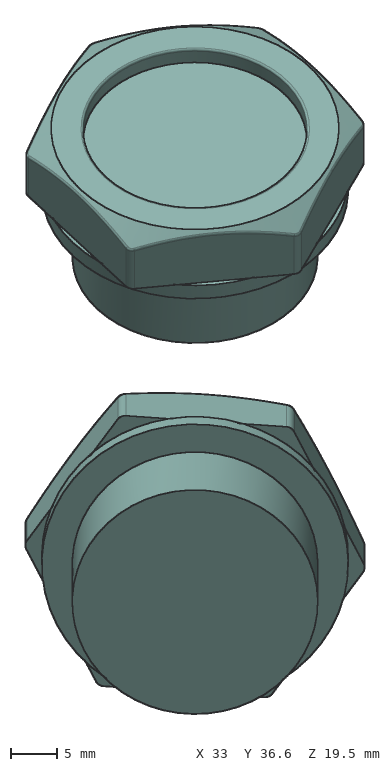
import cadquery as cq
import math

stud_diameter = 26.44
stud_height = 10.0
collar_diameter = 33.0
collar_height = 2.0

head_sides = 6
across_flats = 32.0
head_height = 7.5
corner_radius = 1.0
crown_diameter = 31.0
crown_angle = 30.0
crown_edge_radius = 0.3

recess_diameter = 24.1
recess_depth = 2.0
recess_rim_radius = 0.25

collar_top = stud_height + collar_height
head_top = collar_top + head_height
across_corners = across_flats / math.cos(math.pi / head_sides)


def make_cylinder(diameter, height, base_z):
    return cq.Workplane("XY").workplane(offset=base_z).circle(diameter / 2).extrude(height)


def make_hex_prism():
    prism = (
        cq.Workplane("XY")
        .workplane(offset=collar_top)
        .transformed(rotate=(0, 0, 90))
        .polygon(head_sides, across_corners)
        .extrude(head_height)
    )
    return prism.edges("|Z").fillet(corner_radius)


def make_crown_envelope():
    """Solid of revolution whose conical top trims the corners of the head."""
    outer_radius = across_corners / 2
    crown_radius = crown_diameter / 2
    drop = (outer_radius - crown_radius) * math.tan(math.radians(crown_angle))
    return (
        cq.Workplane("XZ")
        .moveTo(0, collar_top)
        .lineTo(outer_radius, collar_top)
        .lineTo(outer_radius, head_top - drop)
        .lineTo(crown_radius, head_top)
        .lineTo(0, head_top)
        .close()
        .revolve(360, (0, 0, 0), (0, 1, 0))
    )


def make_head():
    head = make_hex_prism().intersect(make_crown_envelope())
    crown_edges = head.faces("%CONE").edges("not(%CIRCLE or %LINE)")
    return crown_edges.fillet(crown_edge_radius)


def cut_recess(body):
    recess_floor = head_top - recess_depth
    body = body.cut(make_cylinder(recess_diameter, recess_depth, recess_floor))
    rim = body.faces(">Z").edges(cq.selectors.RadiusNthSelector(0))
    return rim.fillet(recess_rim_radius)


stud = make_cylinder(stud_diameter, stud_height, 0)
collar = make_cylinder(collar_diameter, collar_height, stud_height)
body = stud.union(collar).union(make_head())
result = cut_recess(body)